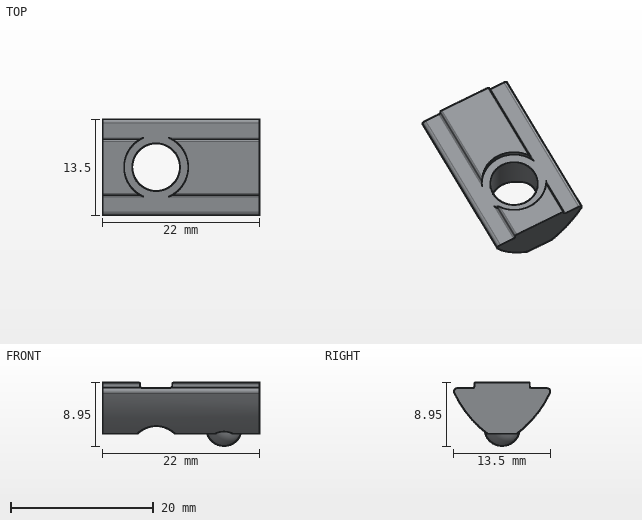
import cadquery as cq
import math


length = 22.0
width = 13.5
body_height = 7.25
bottom_flat_width = 4.0
flank_radius = 15.0
shoulder_radius = 0.5

tongue_width = 7.8
tongue_height = 0.8
tongue_edge_radius = 0.23

hole_diameter = 6.65
hole_from_end = 7.5
seat_diameter = 9.0

ball_radius = 2.5
ball_protrusion = 1.7
ball_from_end = 17.0

start_x = -hole_from_end
bottom_z = -body_height
shoulder_z = -tongue_height


def flank_centre(shoulder_centre, bottom_point):
    """Centre of the flank arc: through the bottom point and tangent to the shoulder round."""
    to_shoulder = flank_radius - shoulder_radius
    dy = shoulder_centre[0] - bottom_point[0]
    dz = shoulder_centre[1] - bottom_point[1]
    gap = math.hypot(dy, dz)
    along = (gap**2 + flank_radius**2 - to_shoulder**2) / (2 * gap)
    aside = math.sqrt(flank_radius**2 - along**2)
    centre_y = bottom_point[0] + (along * dy - aside * dz) / gap
    centre_z = bottom_point[1] + (along * dz + aside * dy) / gap
    return centre_y, centre_z


def on_circle(centre, radius, angle):
    return centre[0] + radius * math.cos(angle), centre[1] + radius * math.sin(angle)


def direction(start, end):
    return math.atan2(end[1] - start[1], end[0] - start[0])


def half_bar():
    """The +Y half of the bar below the shoulders, with its rounded edge and curved flank."""
    bottom_point = (bottom_flat_width / 2, bottom_z)
    shoulder_centre = (width / 2 - shoulder_radius, shoulder_z - shoulder_radius)
    centre = flank_centre(shoulder_centre, bottom_point)
    tangent_angle = direction(centre, shoulder_centre)
    middle_angle = (tangent_angle + direction(centre, bottom_point)) / 2
    round_middle_angle = (math.pi / 2 + tangent_angle) / 2
    return (
        cq.Workplane("YZ", origin=(start_x, 0, 0))
        .moveTo(0, bottom_z)
        .lineTo(*bottom_point)
        .threePointArc(
            on_circle(centre, flank_radius, middle_angle),
            on_circle(centre, flank_radius, tangent_angle),
        )
        .threePointArc(
            on_circle(shoulder_centre, shoulder_radius, round_middle_angle),
            (shoulder_centre[0], shoulder_z),
        )
        .lineTo(0, shoulder_z)
        .close()
        .extrude(length)
    )


def bar_with_tongue():
    half = half_bar()
    tongue = cq.Workplane("XY").box(length, tongue_width, tongue_height, centered=(False, True, False))
    tongue = tongue.translate((start_x, 0, shoulder_z))
    bar = half.union(half.mirror("XZ")).union(tongue).clean()
    half_tongue = tongue_width / 2
    for y in (-half_tongue, half_tongue):
        for z in (0, shoulder_z):
            edge = cq.selectors.NearestToPointSelector((start_x + length / 2, y, z))
            bar = bar.edges("|X").edges(edge).fillet(tongue_edge_radius)
    return bar


def cut_hole_and_seat(bar):
    hole = cq.Workplane("XY").circle(hole_diameter / 2).extrude(bottom_z)
    seat = cq.Workplane("XY").circle(seat_diameter / 2).extrude(shoulder_z)
    return bar.cut(hole).cut(seat)


def ball():
    centre_z = bottom_z - ball_protrusion + ball_radius
    return cq.Workplane("XY").sphere(ball_radius).translate((start_x + ball_from_end, 0, centre_z))


result = cut_hole_and_seat(bar_with_tongue()).union(ball())